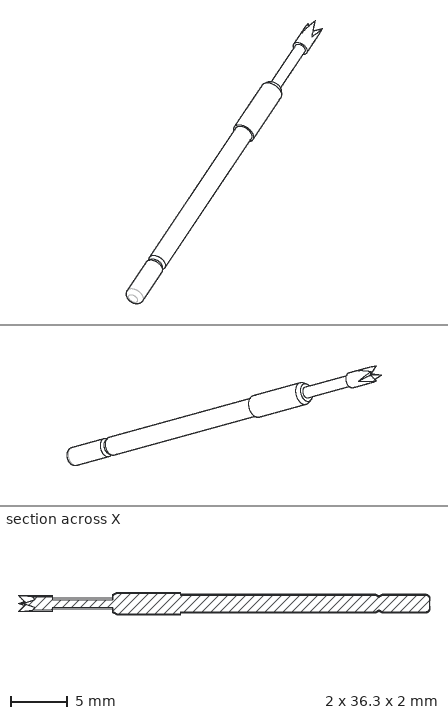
import cadquery as cq
import math

total_length = 36.3

barrel_radius = 0.83
tail_round = 0.38

groove_start = 4.2
groove_width = 0.6
groove_depth = 0.15

collar_radius = 1.0
collar_start = 22.0
collar_end = 28.0
collar_nose_radius = 0.8
collar_nose_length = 0.4

plunger_radius = 0.5
head_radius = 0.7
head_length = 3.0
head_start = total_length - head_length

notch_count = 4
crown_center_depth = 0.7
crown_rim_depth = 1.7
notch_height = 4.0
notch_reach = 2.0


def make_barrel():
    """Barrel with a rounded tail and a V-shaped crimp groove."""
    tail_face_radius = barrel_radius - tail_round
    tail_round_mid = (
        tail_face_radius + tail_round * math.sin(math.pi / 4),
        tail_round * (1 - math.cos(math.pi / 4)),
    )
    groove_bottom = (barrel_radius - groove_depth, groove_start + groove_width / 2)
    profile = (
        cq.Workplane("XY")
        .lineTo(tail_face_radius, 0)
        .threePointArc(tail_round_mid, (barrel_radius, tail_round))
        .lineTo(barrel_radius, groove_start)
        .lineTo(*groove_bottom)
        .lineTo(barrel_radius, groove_start + groove_width)
        .lineTo(barrel_radius, collar_start)
        .lineTo(0, collar_start)
        .close()
    )
    return profile.revolve(360, (0, 0), (0, 1))


def make_collar():
    """Collar with a conical nose on the plunger side."""
    profile = (
        cq.Workplane("XY")
        .moveTo(0, collar_start)
        .lineTo(collar_radius, collar_start)
        .lineTo(collar_radius, collar_end - collar_nose_length)
        .lineTo(collar_nose_radius, collar_end)
        .lineTo(0, collar_end)
        .close()
    )
    return profile.revolve(360, (0, 0), (0, 1))


def make_plunger():
    """Plunger shaft with its wider cylindrical head."""
    profile = (
        cq.Workplane("XY")
        .moveTo(0, collar_end)
        .lineTo(plunger_radius, collar_end)
        .lineTo(plunger_radius, head_start)
        .lineTo(head_radius, head_start)
        .lineTo(head_radius, total_length)
        .lineTo(0, total_length)
        .close()
    )
    return profile.revolve(360, (0, 0), (0, 1))


def make_notch():
    """V prism running outward along +X, its floor sloping down away from the axis."""
    floor_angle = math.atan2(crown_rim_depth - crown_center_depth, head_radius)
    tip_angle = math.pi / notch_count
    tip_along = head_radius * math.cos(tip_angle)
    tip_across = head_radius * math.sin(tip_angle)
    tip_height = tip_along * math.sin(floor_angle) + crown_center_depth * math.cos(floor_angle)
    half_width = notch_height * tip_across / tip_height
    floor_plane = cq.Plane(
        origin=(0, total_length - crown_center_depth, 0),
        xDir=(0, 0, 1),
        normal=(-math.cos(floor_angle), math.sin(floor_angle), 0),
    )
    return (
        cq.Workplane(floor_plane)
        .lineTo(half_width, notch_height)
        .lineTo(-half_width, notch_height)
        .close()
        .extrude(notch_reach, both=True)
    )


def cut_crown(body):
    """Cut the notches so that the teeth stand at +X, -X, +Z and -Z."""
    notch = make_notch()
    for index in range(notch_count):
        angle = (index + 0.5) * 360 / notch_count
        body = body.cut(notch.rotate((0, 0, 0), (0, 1, 0), angle))
    return body


result = cut_crown(make_barrel().union(make_collar()).union(make_plunger()))